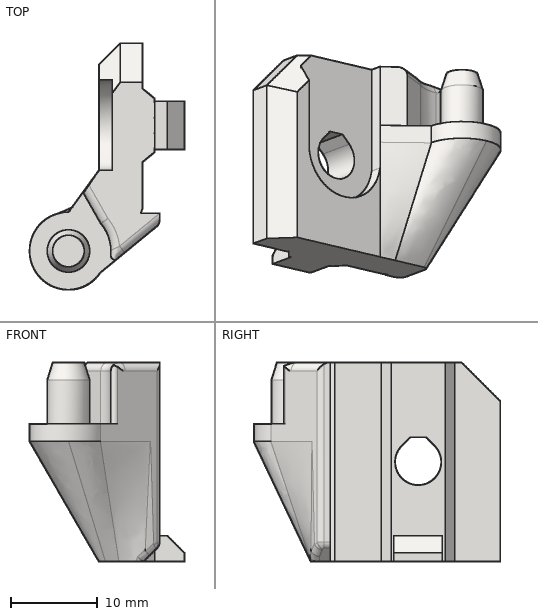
import cadquery as cq
import math


height = 23.0
collar_top = 15.9
collar_bottom = 13.88
pin_shoulder = 21.0

pin_diameter = 4.9
pin_tip_diameter = 3.65
collar_radius = 4.5

plate_front = 3.5
plate_back = 8.55
plate_low_y = 9.3
plate_end_y = 24.0
side_chamfer = 2.5
top_chamfer = 4.5
corner_slope = 1.37

hole_y = 14.5
hole_z = 11.5
hole_radius = 2.65
hole_roof = 2.85
recess_radius = 5.25
recess_depth = 1.55
boss_height = 1.4
boss_base_width = 8.5
boss_top_width = 6.2
foot_end = 13.4
foot_width = 5.6
foot_height = 3.0
foot_chamfer = 2.0

wing_angle = math.radians(39.4)
wing_start = (3.66, -2.53)
wing_tip_x = 10.54
wing_top_y = 4.38
notch_length = 0.5
notch_depth = 0.17
bevel_start_x = 8.66

wall_start = (1.73, 6.68)
wall_radius = 4.9
wall_arc_start = math.radians(41)

edge_radius = 1.0
wall_corner_radius = 0.45

tolerance = 0.001

skirt_low_y = 2.1
skirt_corner_radius = 0.75
skirt_left_end_y = 7.07
skirt_front_start_x = 5.8
skirt_facet_start_x = 8.77
skirt_facet_end_x = 9.86
skirt_wing_x = 9.45
skirt_facet_top_width = 0.03


def on_circle(radius, angle, center=(0, 0)):
    """Point on a circle in the XY plane."""
    return (center[0] + radius * math.cos(angle), center[1] + radius * math.sin(angle))


def midpoint(start, end):
    """Point halfway between two points of the XY plane."""
    return ((start[0] + end[0]) / 2, (start[1] + end[1]) / 2)


def wing_point(x):
    """Point of the straight outer wing face at the given x."""
    return (x, wing_start[1] + (x - wing_start[0]) * math.tan(wing_angle))


def back_outline(outline):
    """Continue an outline from the wing face around the wing tip and the back of the plate."""
    return (
        outline.lineTo(*wing_point(wing_tip_x))
        .lineTo(wing_tip_x, wing_top_y)
        .lineTo(plate_back - notch_depth, wing_top_y)
        .lineTo(plate_back, wing_top_y + notch_length)
        .lineTo(plate_back, plate_low_y)
        .close()
    )


def make_plate():
    outline = [
        (plate_front, plate_low_y),
        (plate_back, plate_low_y),
        (plate_back, plate_end_y),
        (plate_front + side_chamfer, plate_end_y),
        (plate_front, plate_end_y - side_chamfer),
    ]
    plate = cq.Workplane("XY").polyline(outline).close().extrude(height)
    boss = (
        cq.Workplane("XY")
        .polyline([
            (plate_back, hole_y - boss_base_width / 2),
            (plate_back + boss_height, hole_y - boss_top_width / 2),
            (plate_back + boss_height, hole_y + boss_top_width / 2),
            (plate_back, hole_y + boss_base_width / 2),
        ])
        .close()
        .extrude(height)
    )
    foot = (
        cq.Workplane("XZ", origin=(0, hole_y + foot_width / 2, 0))
        .polyline([
            (plate_back, 0),
            (foot_end, 0),
            (foot_end, foot_height - foot_chamfer),
            (foot_end - foot_chamfer, foot_height),
            (plate_back, foot_height),
        ])
        .close()
        .extrude(foot_width)
    )
    return plate.union(boss).union(foot)


def make_corner_waste(upright_x, side, radius, bottom):
    """Sliver outside a rounded upright corner where a face of constant x meets the wing face.

    The material lies on the +X side of the upright face for side = 1 and on its -X side for side = -1.
    """
    center_x = upright_x + side * radius
    center_y = wing_point(center_x)[1] + radius / math.cos(wing_angle)
    center = (center_x, center_y)
    upright_angle = -math.pi if side > 0 else 0
    wing_normal_angle = wing_angle - math.pi / 2
    return (
        cq.Workplane("XY", origin=(0, 0, bottom))
        .moveTo(*on_circle(radius, upright_angle, center))
        .threePointArc(
            on_circle(radius, (upright_angle + wing_normal_angle) / 2, center),
            on_circle(radius, wing_normal_angle, center),
        )
        .lineTo(*wing_point(upright_x))
        .close()
        .extrude(height - bottom)
    )


def make_upper_arm():
    """Wing above the collar, with the clearance wall facing the pin and rounded edges."""
    arc_start = on_circle(wall_radius, wall_arc_start)
    arc_middle = on_circle(wall_radius, wall_arc_start / 2)
    arc_end = (wall_radius, 0)
    wall_corner = wing_point(wall_radius)
    outline = (
        cq.Workplane("XY", origin=(0, 0, collar_top))
        .moveTo(plate_front, plate_low_y)
        .lineTo(*wall_start)
        .lineTo(*arc_start)
        .threePointArc(arc_middle, arc_end)
        .lineTo(*wall_corner)
    )
    arm = back_outline(outline).extrude(height - collar_top)

    rim_points = [
        midpoint(wall_start, arc_start),
        arc_middle,
        midpoint(arc_end, wall_corner),
        midpoint(wall_corner, wing_point(wing_tip_x)),
    ]
    rim = [arm.edges(cq.NearestToPointSelector((x, y, height))).val() for x, y in rim_points]
    arm = arm.newObject([arm.val().fillet(edge_radius, rim)])
    return arm.cut(make_corner_waste(wall_radius, 1, wall_corner_radius, collar_top))


def make_collar_level():
    """Collar disc and the arm that joins it to the plate and the wing."""
    outline = (
        cq.Workplane("XY", origin=(0, 0, collar_bottom))
        .moveTo(plate_front, plate_low_y)
        .lineTo(0, collar_radius)
        .threePointArc((-collar_radius, 0), wing_start)
    )
    return back_outline(outline).extrude(collar_top - collar_bottom)


def make_skirt():
    """Tapered body below the collar and the wing, ruled from the bottom outline to the collar outline."""
    upper_left = math.radians(135)
    lower_left = math.radians(225)
    corner = (plate_front + skirt_corner_radius, skirt_low_y + skirt_corner_radius)
    bottom = (
        cq.Workplane("XY")
        .moveTo(plate_front, plate_low_y)
        .lineTo(plate_front, skirt_left_end_y)
        .lineTo(plate_front, corner[1])
        .threePointArc(on_circle(skirt_corner_radius, lower_left, corner), (corner[0], skirt_low_y))
        .lineTo(skirt_front_start_x, skirt_low_y)
        .lineTo(skirt_facet_start_x, skirt_low_y)
        .lineTo(*wing_point(skirt_facet_end_x))
    )
    wing_start_angle = math.atan2(wing_start[1], wing_start[0])
    top = (
        cq.Workplane("XY", origin=(0, 0, collar_bottom))
        .moveTo(plate_front, plate_low_y)
        .lineTo(0, collar_radius)
        .threePointArc(on_circle(collar_radius, upper_left), (-collar_radius, 0))
        .threePointArc(on_circle(collar_radius, lower_left), (0, -collar_radius))
        .threePointArc(on_circle(collar_radius, (wing_start_angle - math.pi / 2) / 2), wing_start)
        .lineTo(*wing_point(skirt_wing_x - skirt_facet_top_width))
        .lineTo(*wing_point(skirt_wing_x))
    )
    return cq.Workplane(cq.Solid.makeLoft([back_outline(bottom).val(), back_outline(top).val()], True))


def make_pin():
    pin_radius = pin_diameter / 2
    return (
        cq.Workplane("XZ")
        .polyline([
            (0, collar_top),
            (pin_radius, collar_top),
            (pin_radius, pin_shoulder),
            (pin_tip_diameter / 2, height),
            (0, height),
        ])
        .close()
        .revolve(360, (0, 0, 0), (0, 1, 0))
    )


def make_bevel_waste():
    """Wedge below the 45 degree bevel under the wing."""
    reach = wing_tip_x - bevel_start_x + edge_radius
    return (
        cq.Workplane("XZ", origin=(0, wing_top_y + notch_length, 0))
        .polyline([
            (bevel_start_x, 0),
            (bevel_start_x + reach, 0),
            (bevel_start_x + reach, reach),
        ])
        .close()
        .extrude(plate_low_y)
    )


def round_bevel_rim(body):
    """Round the outer rim of the bevel, leaving its edges on the bottom and on the back of the wing."""
    rim = []
    for edge in body.faces(cq.ParallelDirSelector(cq.Vector(1, 0, -1))).edges().vals():
        center = edge.Center()
        if center.z > tolerance and center.y < wing_top_y - tolerance:
            rim.append(edge)
    return body.newObject([body.val().fillet(edge_radius, rim)])


def make_plate_corner_waste():
    """Block beyond the sloping face across the top far corner of the plate."""
    origin = (plate_front + side_chamfer, plate_end_y, height - top_chamfer)
    reach = 2 * (height + plate_end_y)
    face = cq.Plane(origin=origin, xDir=(0, 1, -1), normal=(-corner_slope, 1, 1))
    return cq.Workplane(face).rect(reach, reach).extrude(reach)


def make_top_corner_waste():
    """Wedge beyond the 45 degree chamfer on the top far edge of the plate."""
    return (
        cq.Workplane("YZ")
        .polyline([
            (plate_end_y, height - top_chamfer),
            (plate_end_y, height),
            (plate_end_y - top_chamfer, height),
        ])
        .close()
        .extrude(foot_end)
    )


def make_recess():
    """Round-bottomed pocket in the plate face, open at the top."""
    pocket = cq.Workplane("YZ", origin=(plate_front, hole_y, hole_z))
    return (
        pocket.moveTo(-recess_radius, height - hole_z)
        .lineTo(-recess_radius, 0)
        .threePointArc((0, -recess_radius), (recess_radius, 0))
        .lineTo(recess_radius, height - hole_z)
        .close()
        .extrude(recess_depth)
    )


def make_hole():
    """Cross hole whose roof is a teardrop with 45 degree sides and a flat top."""
    tangent = hole_radius * math.sqrt(0.5)
    roof_half_width = hole_radius * math.sqrt(2) - hole_roof
    return (
        cq.Workplane("YZ", origin=(0, hole_y, hole_z))
        .moveTo(-tangent, tangent)
        .threePointArc((0, -hole_radius), (tangent, tangent))
        .lineTo(roof_half_width, hole_roof)
        .lineTo(-roof_half_width, hole_roof)
        .close()
        .extrude(foot_end)
    )


plate = make_plate()
plate = plate.cut(make_plate_corner_waste())
plate = plate.cut(make_top_corner_waste())
plate = plate.cut(make_recess())
plate = plate.cut(make_hole())

wing_tip_waste = make_corner_waste(wing_tip_x, -1, edge_radius, 0)

lower_arm = make_skirt()
lower_arm = lower_arm.cut(wing_tip_waste)
lower_arm = lower_arm.cut(make_bevel_waste())
lower_arm = round_bevel_rim(lower_arm)

upper_arm = make_collar_level()
upper_arm = upper_arm.union(make_upper_arm())
upper_arm = upper_arm.cut(wing_tip_waste)

result = plate.union(lower_arm).union(upper_arm).union(make_pin()).clean()